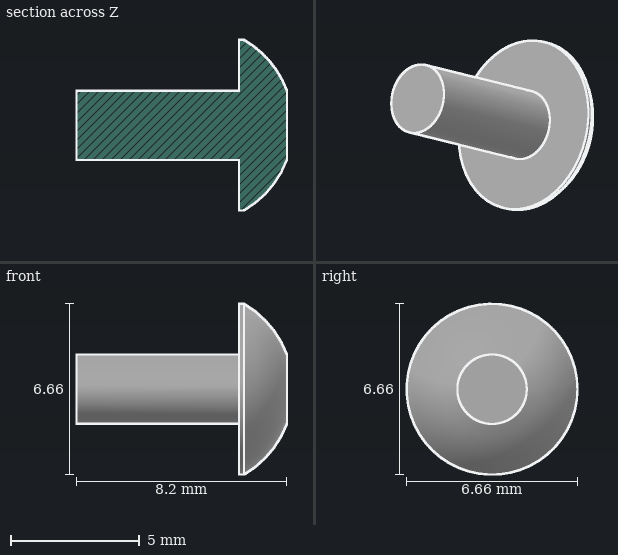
import cadquery as cq
import math

total_length = 8.2
shank_length = 6.33
shank_radius = 2.71 / 2
head_radius = 6.66 / 2
rim_thickness = 0.2
crown_flat_radius = 2.71 / 2

rim_end = shank_length + rim_thickness

dome_height = total_length - rim_end
center_to_rim = (head_radius**2 - crown_flat_radius**2 - dome_height**2) / (2 * dome_height)
dome_center = rim_end - center_to_rim
dome_radius = math.hypot(center_to_rim, head_radius)
rim_angle = math.atan2(head_radius, center_to_rim)
crown_angle = math.atan2(crown_flat_radius, total_length - dome_center)
middle_angle = (rim_angle + crown_angle) / 2
dome_middle = (
    dome_center + dome_radius * math.cos(middle_angle),
    dome_radius * math.sin(middle_angle),
)

half_profile = (
    cq.Workplane("XY")
    .lineTo(0, shank_radius)
    .lineTo(shank_length, shank_radius)
    .lineTo(shank_length, head_radius)
    .lineTo(rim_end, head_radius)
    .threePointArc(dome_middle, (total_length, crown_flat_radius))
    .lineTo(total_length, 0)
    .close()
)
result = half_profile.revolve(360, (0, 0, 0), (1, 0, 0))